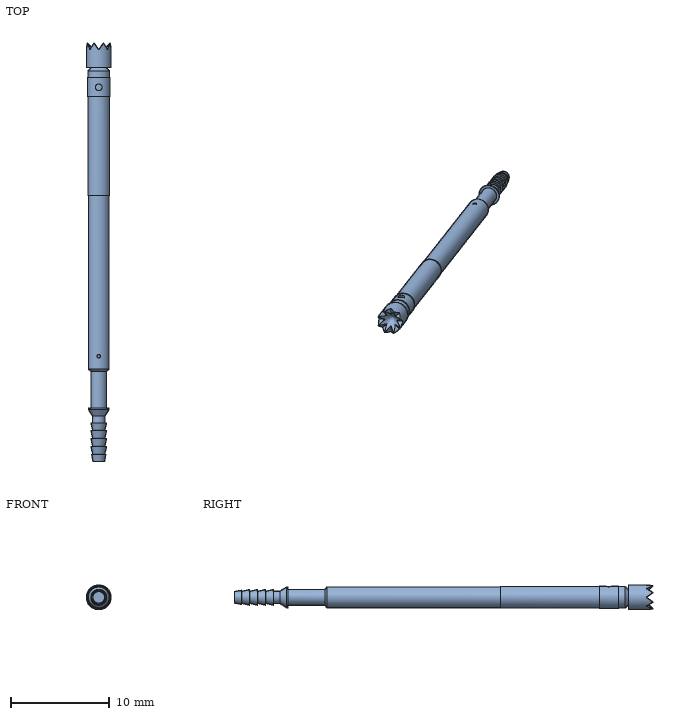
import cadquery as cq
import math

LENGTH = 42.7

HEAD_DIAMETER = 2.5
HEAD_RADIUS = HEAD_DIAMETER / 2
HEAD_END_AT = 2.5
TOOTH_COUNT = 8
TOOTH_DEPTH = 0.7
CAVITY_DEPTH = 1.35

NECK_RADIUS = 0.75
FRONT_RADIUS = 1.1
FRONT_AT = HEAD_END_AT + (FRONT_RADIUS - NECK_RADIUS)
BAND_RADIUS = 1.15
BAND_AT = 3.55
BAND_END_AT = 5.45
REAR_RADIUS = 1.05
REAR_AT = 15.55
BARREL_END_AT = 33.25
BARREL_BEVEL = 0.2

ROD_RADIUS = 0.8
FLANGE_RADIUS = 1.05
FLANGE_AT = 37.25
FLANGE_RIM = 0.13
FLANGE_END_AT = 38.05

CORE_RADIUS = 0.65
BARB_RADIUS = 0.8
BARB_COUNT = 4
FIRST_BARB_AT = 38.75
BARB_PITCH = 0.8
BARB_LENGTH = 0.7
END_CONE_RADIUS = 0.73
END_CONE_AT = FIRST_BARB_AT + BARB_COUNT * BARB_PITCH
END_RADIUS = 0.6

DIMPLES = [(4.53, 0.35, BAND_RADIUS), (31.95, 0.15, REAR_RADIUS)]
DIMPLE_DEPTH = 0.2


def make_body():
    """Revolve the stepped outline (radius, distance from the tips) around the Y axis."""
    outline = [
        (0, 0),
        (HEAD_RADIUS, 0),
        (HEAD_RADIUS, HEAD_END_AT),
        (NECK_RADIUS, HEAD_END_AT),
        (FRONT_RADIUS, FRONT_AT),
        (FRONT_RADIUS, BAND_AT),
        (BAND_RADIUS, BAND_AT),
        (BAND_RADIUS, BAND_END_AT),
        (FRONT_RADIUS, BAND_END_AT),
        (FRONT_RADIUS, REAR_AT),
        (REAR_RADIUS, REAR_AT),
        (REAR_RADIUS, BARREL_END_AT),
        (ROD_RADIUS, BARREL_END_AT + BARREL_BEVEL),
        (ROD_RADIUS, FLANGE_AT),
        (FLANGE_RADIUS, FLANGE_AT),
        (FLANGE_RADIUS, FLANGE_AT + FLANGE_RIM),
        (CORE_RADIUS, FLANGE_END_AT),
    ]
    for i in range(BARB_COUNT):
        barb_at = FIRST_BARB_AT + i * BARB_PITCH
        outline += [
            (CORE_RADIUS, barb_at),
            (BARB_RADIUS, barb_at),
            (CORE_RADIUS, barb_at + BARB_LENGTH),
        ]
    outline += [
        (CORE_RADIUS, END_CONE_AT),
        (END_CONE_RADIUS, END_CONE_AT),
        (END_RADIUS, LENGTH),
        (0, LENGTH),
    ]
    points = [(radius, LENGTH - distance) for radius, distance in outline]
    return cq.Workplane("XY").polyline(points).close().revolve(360, (0, 0, 0), (0, 1, 0))


def make_cavity():
    """Conical hollow in the crown that leaves a sharp outer rim."""
    return (
        cq.Workplane("XY")
        .polyline([(0, LENGTH - CAVITY_DEPTH), (HEAD_RADIUS, LENGTH), (0, LENGTH)])
        .close()
        .revolve(360, (0, 0, 0), (0, 1, 0))
    )


def make_tooth_groove(angle):
    """V groove across the whole crown, as wide at the rim as the gap between two tips."""
    half_width = HEAD_RADIUS * math.sin(math.pi / TOOTH_COUNT)
    return (
        cq.Workplane("XY")
        .polyline([(-half_width, LENGTH), (half_width, LENGTH), (0, LENGTH - TOOTH_DEPTH)])
        .close()
        .extrude(HEAD_RADIUS, both=True)
        .rotate((0, 0, 0), (0, 1, 0), angle)
    )


def make_dimple(distance, radius, barrel_radius):
    """Flat-bottomed round dimple sunk into the top of the barrel."""
    return (
        cq.Workplane("XY", origin=(0, LENGTH - distance, barrel_radius - DIMPLE_DEPTH))
        .circle(radius)
        .extrude(2 * DIMPLE_DEPTH)
    )


result = make_body().cut(make_cavity())
for i in range(TOOTH_COUNT // 2):
    result = result.cut(make_tooth_groove(i * 360 / TOOTH_COUNT))
for distance, radius, barrel_radius in DIMPLES:
    result = result.cut(make_dimple(distance, radius, barrel_radius))